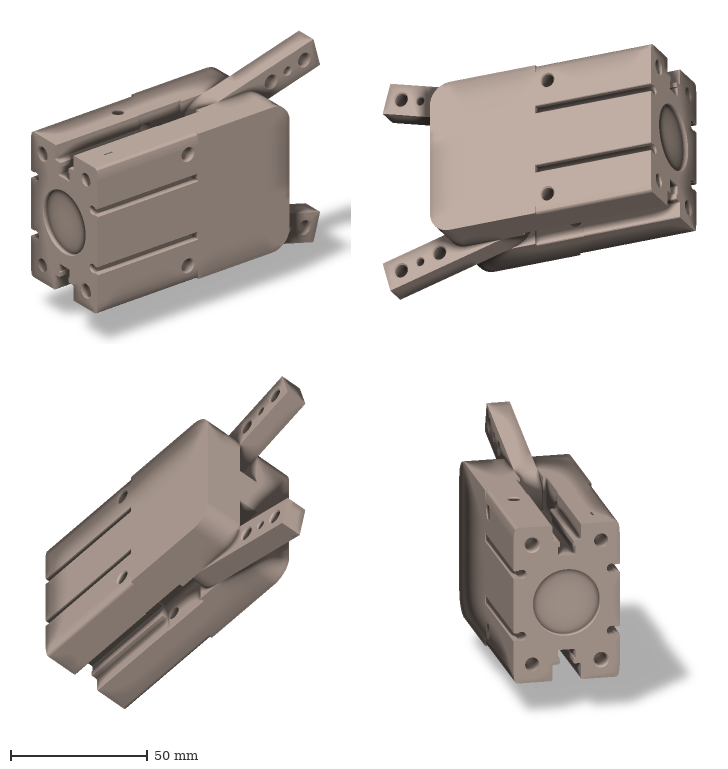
import cadquery as cq
import math


body_width = 40.0
body_height = 60.0
body_length = 89.3
front_round = 8.0
profile_length = 46.8
top = body_height / 2
side = body_width / 2

corner_drop = 4.3
corner_inset = 1.8
knee_inset = 0.5
knee_drop = 0.7
shallow_radius = 15.0
sharp_radius = 1.55

sensor_offset = 12.0
sensor_mouth = 2.8
sensor_mouth_chamfer = 0.25
sensor_lip = 2.0
sensor_depth = 4.85
sensor_height = 3.5

channel_width = 10.8
channel_depth = 6.25
neck_width = 5.2
neck_depth = 8.35
foot_width = 6.6
foot_depth = 11.85
edge_chamfer = 0.3

pocket_start = 38.8
pocket_end = 58.0
pocket_width = 11.4
pocket_depth = 13.0
pocket_fillet = 2.1

recess_diameter = 25.0
recess_depth = 1.8
recess_chamfer = 0.3

hole_z = 23.0
rear_hole_x = 13.0
rear_hole_depth = 10.0
thread_diameter = 5.0
plain_diameter = 5.3
thread_chamfer = 0.5
cross_hole_y = 42.0
drill_point_angle = 118.0

port_x = -12.0
port_y = 34.3
port_diameter = 4.13
port_chamfer = 0.4
port_depth = 6.0

needle_x = 12.0
needle_y = 11.1
needle_diameter = 4.92
needle_length = 5.0
needle_slot_width = 0.7
needle_slot_length = 3.95
needle_slot_depth = 0.6

finger_angle = 15.0
finger_width = 8.7
finger_thickness = 12.0
finger_reach = 48.0
hub_radius = 10.5
hub_clearance = 0.4
pivot_y = 68.88
pivot_z = 19.405
finger_hole_pitch = 8.0
finger_hole_end = 6.0
finger_hole_diameter = 5.0
finger_pin_diameter = 3.0
finger_hole_chamfer = 0.5
finger_pin_chamfer = 0.4


def countersink(diameter, chamfer):
    """Cone going down from the origin along -Z, narrowing to the hole diameter."""
    radius = diameter / 2
    return cq.Workplane("XY").add(
        cq.Solid.makeCone(radius + chamfer, radius, chamfer, dir=cq.Vector(0, 0, -1))
    )


def blind_hole(diameter, depth):
    """Drill-pointed hole cutter going down from the origin along -Z."""
    radius = diameter / 2
    point = radius / math.tan(math.radians(drill_point_angle / 2))
    profile = (
        cq.Workplane("XZ")
        .lineTo(radius, 0)
        .lineTo(radius, -depth)
        .lineTo(0, -depth - point)
        .close()
    )
    return profile.revolve(360, (0, 0, 0), (0, 1, 0))


def through_hole(diameter, chamfer, length):
    """Cutter along X, centred on the origin, countersunk at both ends of the length."""
    cone = countersink(diameter, chamfer).translate((0, 0, length / 2))
    shaft = cq.Workplane("XY").circle(diameter / 2).extrude(length / 2, both=True)
    cutter = shaft.union(both_ends(cone))
    return cutter.rotate((0, 0, 0), (0, 1, 0), 90)


def facing_rear(cutter):
    """Turn a cutter that goes down along -Z so that it goes in from the rear face."""
    return cutter.rotate((0, 0, 0), (1, 0, 0), 90)


def centred_box(width, y_start, y_end, z_start, z_end):
    """Box symmetric in X between the given Y and Z limits."""
    return cq.Workplane("XY").box(
        width, y_end - y_start, z_end - z_start, centered=(True, False, False)
    ).translate((0, y_start, z_start))


def both_ends(cutter):
    """Cutter together with its mirror image below the mid plane."""
    return cutter.union(cutter.mirror("XY"))


def make_corner_cutter():
    """Waste outside the two-arc corner at -X, +Z."""
    return (
        cq.Workplane("XZ")
        .moveTo(-side, top)
        .lineTo(-side, top - corner_drop)
        .radiusArc((-side + knee_inset, top - knee_drop), shallow_radius)
        .radiusArc((-side + corner_inset, top), sharp_radius)
        .close()
        .extrude(-profile_length)
    )


def make_sensor_slot():
    """Round-bottomed undercut slot with a chamfered mouth in the -X side at mid height."""
    half_height = sensor_height / 2
    round_start = -side + sensor_depth - half_height
    bulb = (
        cq.Workplane("XZ")
        .moveTo(-side + sensor_lip, half_height)
        .lineTo(round_start, half_height)
        .threePointArc((-side + sensor_depth, 0), (round_start, -half_height))
        .lineTo(-side + sensor_lip, -half_height)
        .close()
        .extrude(-profile_length)
    )
    half_mouth = sensor_mouth / 2
    mouth = (
        cq.Workplane("XZ")
        .moveTo(-side, half_mouth + sensor_mouth_chamfer)
        .lineTo(-side + sensor_mouth_chamfer, half_mouth)
        .lineTo(-side + sensor_lip, half_mouth)
        .lineTo(-side + sensor_lip, -half_mouth)
        .lineTo(-side + sensor_mouth_chamfer, -half_mouth)
        .lineTo(-side, -half_mouth - sensor_mouth_chamfer)
        .close()
        .extrude(-profile_length)
    )
    return bulb.union(mouth)


def make_channel():
    """Stepped slot along the rear of the top face, with chamfered edges and corners."""
    half_channel = channel_width / 2
    half_neck = neck_width / 2
    half_foot = foot_width / 2
    right_half = [
        (half_channel + edge_chamfer, top),
        (half_channel, top - edge_chamfer),
        (half_channel, top - channel_depth + edge_chamfer),
        (half_channel - edge_chamfer, top - channel_depth),
        (half_neck + edge_chamfer, top - channel_depth),
        (half_neck, top - channel_depth - edge_chamfer),
        (half_neck, top - neck_depth),
        (half_foot, top - neck_depth),
        (half_foot, top - foot_depth + edge_chamfer),
        (half_foot - edge_chamfer, top - foot_depth),
    ]
    left_half = [(-x, z) for x, z in reversed(right_half)]
    return cq.Workplane("XZ").polyline(right_half + left_half).close().extrude(-pocket_start)


def make_pocket():
    """Round-bottomed pocket behind the finger, with chamfered long edges."""
    pocket = (
        centred_box(pocket_width, pocket_start, pocket_end, top - pocket_depth, top)
        .edges("|Y and <Z")
        .fillet(pocket_fillet)
    )
    half_pocket = pocket_width / 2
    mouth = (
        cq.Workplane("XZ", origin=(0, pocket_start, 0))
        .moveTo(-half_pocket - edge_chamfer, top)
        .lineTo(half_pocket + edge_chamfer, top)
        .lineTo(half_pocket, top - edge_chamfer)
        .lineTo(-half_pocket, top - edge_chamfer)
        .close()
        .extrude(pocket_start - pocket_end)
    )
    return pocket.union(mouth)


def make_recess():
    """Round recess with a chamfered rim, opening at the rear face."""
    hole = cq.Workplane("XY").circle(recess_diameter / 2).extrude(-recess_depth)
    return facing_rear(hole.union(countersink(recess_diameter, recess_chamfer)))


def make_needle_blank():
    return (
        cq.Workplane("XY", origin=(needle_x, needle_y, top))
        .circle(needle_diameter / 2)
        .extrude(-needle_length)
    )


def make_housing():
    body = centred_box(body_width, 0, body_length, -top, top)
    body = body.edges("|X and >Y").fillet(front_round)

    side_cuts = both_ends(make_corner_cutter())
    side_cuts = side_cuts.union(both_ends(make_sensor_slot().translate((0, 0, sensor_offset))))
    body = body.cut(side_cuts).cut(side_cuts.mirror("YZ"))

    slot_floor = pivot_z - hub_radius - hub_clearance
    finger_slot = centred_box(finger_width, pocket_end, body_length, slot_floor, top)
    for cutter in (make_channel(), make_pocket(), finger_slot):
        body = body.cut(both_ends(cutter))

    body = body.cut(make_recess())

    for x_sign in (-1, 1):
        for z_sign in (-1, 1):
            if x_sign != z_sign:
                hole = blind_hole(thread_diameter, rear_hole_depth)
                hole = hole.union(countersink(thread_diameter, thread_chamfer))
            else:
                hole = blind_hole(plain_diameter, rear_hole_depth)
            hole = facing_rear(hole)
            body = body.cut(hole.translate((x_sign * rear_hole_x, 0, z_sign * hole_z)))

    cross_hole = through_hole(thread_diameter, thread_chamfer, body_width)
    body = body.cut(both_ends(cross_hole.translate((0, cross_hole_y, hole_z))))

    port = blind_hole(port_diameter, port_depth).union(countersink(port_diameter, port_chamfer))
    body = body.cut(port.translate((port_x, port_y, top)))
    return body.cut(make_needle_blank())


def make_needle():
    slot = cq.Workplane("XY").box(needle_slot_width, needle_slot_length, 2 * needle_slot_depth)
    return make_needle_blank().cut(slot.translate((needle_x, needle_y, top)))


def make_finger():
    """Upper finger: a bar tangent to its round hub, swung open about the pivot."""
    bar = centred_box(finger_width, 0, finger_reach, hub_radius - finger_thickness, hub_radius)
    hub = cq.Workplane("YZ").circle(hub_radius).extrude(finger_width / 2, both=True)
    finger = bar.union(hub)
    hole_line = hub_radius - finger_thickness / 2
    screw_hole = through_hole(finger_hole_diameter, finger_hole_chamfer, finger_width)
    pin_hole = through_hole(finger_pin_diameter, finger_pin_chamfer, finger_width)
    for index, hole in enumerate((screw_hole, pin_hole, screw_hole)):
        hole_y = finger_reach - finger_hole_end - index * finger_hole_pitch
        finger = finger.cut(hole.translate((0, hole_y, hole_line)))
    finger = finger.rotate((0, 0, 0), (1, 0, 0), finger_angle)
    return finger.translate((0, pivot_y, pivot_z))


housing = make_housing()
needle = make_needle()
upper_finger = make_finger()
lower_finger = upper_finger.mirror("XY")

result = cq.Compound.makeCompound(
    [housing.val(), needle.val(), upper_finger.val(), lower_finger.val()]
)